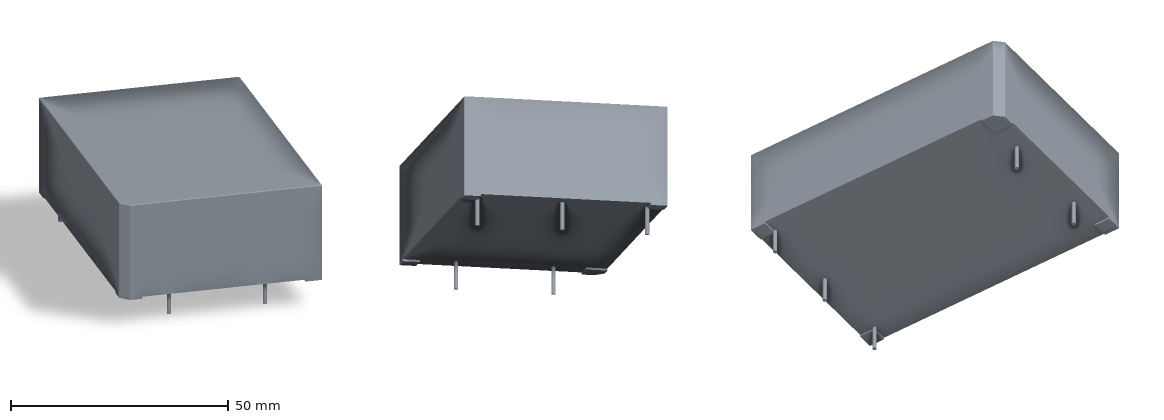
import cadquery as cq

length = 70.0
width = 48.0
overall_height = 29.55
pin_drop = 6.0
body_height = overall_height - pin_drop
top_edge_radius = 0.2
side_edge_radius = 0.175
corner_cut = 2.0

foot_height = 0.5
foot_side = 4.0
key_foot_side = 5.05

pin_diameter = 1.0
pin_span_x = 61.9
pin_inset_x = 4.05
outer_pin_y = 20.0
inner_pin_y = 11.5

left_pin_x = -length / 2 + pin_inset_x
right_pin_x = left_pin_x + pin_span_x
pin_centres = [(left_pin_x, y) for y in (-outer_pin_y, 0, outer_pin_y)]
pin_centres += [(right_pin_x, y) for y in (-inner_pin_y, inner_pin_y)]


def make_body():
    """Block standing on z = 0 with one cut vertical corner and softened outer edges."""
    block = cq.Workplane("XY").box(length, width, body_height, centered=(True, True, False))
    block = block.edges("|Z and >X and <Y").chamfer(corner_cut)
    block = block.edges("|Z").fillet(side_edge_radius)
    return block.faces(">Z").edges().fillet(top_edge_radius)


def foot_cutter():
    """Cross-shaped relief that leaves a foot at each corner of the underside."""
    relief = cq.Workplane("XY").box(length, width, foot_height, centered=(True, True, False))
    for x_sign in (-1, 1):
        for y_sign in (-1, 1):
            side = key_foot_side if x_sign > 0 and y_sign < 0 else foot_side
            foot = cq.Workplane("XY").box(side, side, foot_height, centered=(True, True, False))
            centre_x = x_sign * (length - side) / 2
            centre_y = y_sign * (width - side) / 2
            relief = relief.cut(foot.translate((centre_x, centre_y, 0)))
    return relief


def make_pins():
    """Round pins rooted in the recessed underside."""
    pins = cq.Workplane("XY").workplane(offset=-pin_drop).pushPoints(pin_centres)
    return pins.circle(pin_diameter / 2).extrude(pin_drop + foot_height)


result = make_body().cut(foot_cutter()).union(make_pins())